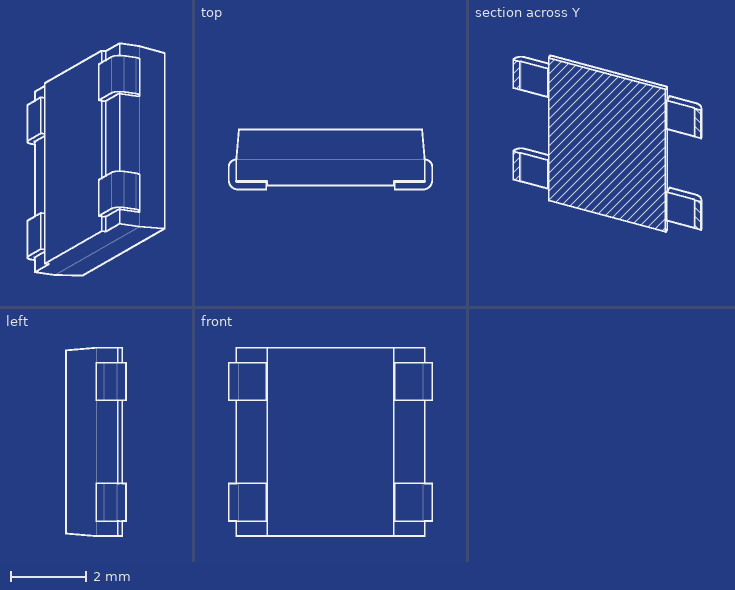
import cadquery as cq
import math

overall_width = 5.4
overall_depth = 1.6
body_height = 5.0
lead_thickness = 0.2
body_width = overall_width - 2 * lead_thickness

parting_y = 0.0
back_y = overall_depth / 2
mounting_y = -overall_depth / 2
lead_standoff = 0.1
body_front_y = mounting_y + lead_standoff
draft_angle = 5.0

lead_length = 1.0
lead_width = 1.0
lead_edge_inset = 0.4
bend_outer_radius = 0.25
bend_inner_radius = 0.02
lead_clearance = 0.02
lead_center_z = body_height / 2 - lead_edge_inset - lead_width / 2

recess_floor_y = mounting_y + lead_thickness + lead_clearance
recess_edge_x = overall_width / 2 - lead_length - lead_clearance


def make_housing():
    """Housing with a stepped front half and a back half drafted on all four sides."""
    half_width = body_width / 2
    half_outline = [
        (-half_width, parting_y),
        (-half_width, recess_floor_y),
        (-recess_edge_x, recess_floor_y),
        (-recess_edge_x, body_front_y),
        (recess_edge_x, body_front_y),
        (recess_edge_x, recess_floor_y),
        (half_width, recess_floor_y),
        (half_width, parting_y),
    ]
    front_half = (
        cq.Workplane("XY")
        .polyline(half_outline)
        .close()
        .extrude(body_height / 2, both=True)
    )
    back_depth = back_y - parting_y
    back_inset = back_depth * math.tan(math.radians(draft_angle))
    back_half = (
        cq.Workplane("XZ", origin=(0, parting_y, 0))
        .rect(body_width, body_height)
        .workplane(offset=-back_depth)
        .rect(body_width - 2 * back_inset, body_height - 2 * back_inset)
        .loft(ruled=True)
    )
    return front_half.union(back_half, clean=False)


def fillet_upright_edge(shape, point, radius):
    """Round the edge along Z that lies nearest to the point."""
    nearest = cq.selectors.NearestToPointSelector(point)
    return shape.edges("|Z").edges(nearest).fillet(radius)


def make_lead(center_z):
    """Left-hand L-shaped lead with a rounded back end and a rounded bend."""
    outer_x = -overall_width / 2
    inner_x = outer_x + lead_thickness
    tip_x = outer_x + lead_length
    foot_back_y = mounting_y + lead_thickness
    outline = [
        (inner_x, parting_y),
        (outer_x, parting_y),
        (outer_x, mounting_y),
        (tip_x, mounting_y),
        (tip_x, foot_back_y),
        (inner_x, foot_back_y),
    ]
    lead = (
        cq.Workplane("XY", origin=(0, 0, center_z))
        .polyline(outline)
        .close()
        .extrude(lead_width / 2, both=True)
    )

    lead = fillet_upright_edge(lead, (inner_x, foot_back_y, center_z), bend_inner_radius)
    lead = fillet_upright_edge(lead, (outer_x, mounting_y, center_z), bend_outer_radius)

    round_end = (
        cq.Workplane("XY", origin=(0, 0, center_z))
        .center(inner_x, parting_y - lead_thickness)
        .circle(lead_thickness)
        .extrude(lead_width / 2, both=True)
    )
    end_block = (
        cq.Workplane("XY")
        .box(lead_thickness, lead_thickness, lead_width, centered=(False, False, True))
        .translate((outer_x, parting_y - lead_thickness, center_z))
    )
    return lead.cut(end_block.cut(round_end))


housing = make_housing()

leads = []
for z in (-lead_center_z, lead_center_z):
    left_lead = make_lead(z)
    right_lead = left_lead.mirror("YZ")
    leads += [left_lead.solids().val(), right_lead.solids().val()]

result = cq.Compound.makeCompound([housing.solids().val(), *leads])